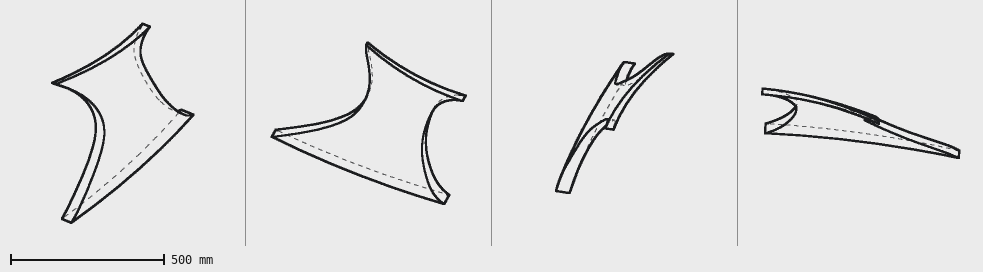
import cadquery as cq

HEIGHT = 320.0
LENGTH = 639.5
TOP_FRONT_Y = 250.0

OVERRUN = 6.5
LOFT_START = -OVERRUN
LOFT_END = LENGTH + OVERRUN
TRIM_START_X = -639.5
TRIM_WIDTH = 1279.0

LEVELS = [
    (0.0, 0.0, LENGTH, (184.0, 262.0), (220.0, 308.0), 18.0),
    (64.0, 128.0, 571.0, (179.0, 243.0), (214.0, 285.0), 9.0),
    (128.0, 231.5, 542.5, (166.0, 217.5), (199.5, 254.5), 5.0),
    (192.0, 291.5, 531.5, (137.5, 185.5), (169.0, 220.0), 4.0),
    (256.0, 299.0, 543.0, (83.0, 146.0), (107.0, 173.0), 6.5),
    (288.0, 281.5, 561.5, (51.0, 129.0), (72.0, 153.5), 10.0),
    (HEIGHT, TOP_FRONT_Y, LENGTH, (0.0, 115.0), (13.5, 143.0), 25.5),
]

FRONT_EDGE = [(0.0, 0.0), (128.0, 64.0), (231.5, 128.0), (291.5, 192.0), (303.0, 233.5), (287.0, 280.0),
              (TOP_FRONT_Y, HEIGHT)]
BACK_EDGE = [(LENGTH, 0.0), (597.5, 30.0), (558.5, 87.5), (537.0, 145.0), (531.5, 192.0), (537.0, 242.0),
             (554.5, 280.0), (576.0, 299.5), (LENGTH, HEIGHT)]


def bowed_edge(z, front_y, back_y, x_ends, bow):
    """Parabola through both x ends, extended over the whole loft length."""
    front_x, back_x = x_ends
    span = back_y - front_y

    def place(y):
        t = (y - front_y) / span
        return front_x + (back_x - front_x) * t + 4 * bow * t * (1 - t)

    start_x = place(LOFT_START)
    end_x = place(LOFT_END)
    middle_y = (LOFT_START + LOFT_END) / 2
    control_x = 2 * place(middle_y) - (start_x + end_x) / 2
    points = [(start_x, LOFT_START), (control_x, middle_y), (end_x, LOFT_END)]
    return cq.Edge.makeBezier([cq.Vector(x, y, z) for x, y in points])


def section(z, front_y, back_y, inner_x, outer_x, bow):
    """Closed horizontal outline of the web at height z."""
    inner = bowed_edge(z, front_y, back_y, inner_x, bow)
    outer = bowed_edge(z, front_y, back_y, outer_x, bow)
    front = cq.Edge.makeLine(inner.startPoint(), outer.startPoint())
    back = cq.Edge.makeLine(outer.endPoint(), inner.endPoint())
    return cq.Wire.assembleEdges([front, outer, back, inner])


def side_profile():
    """Prism along X whose two concave sides trim the web."""
    return (
        cq.Workplane("YZ", origin=(TRIM_START_X, 0, 0))
        .moveTo(*FRONT_EDGE[0])
        .spline(FRONT_EDGE[1:], includeCurrent=True)
        .lineTo(*BACK_EDGE[-1])
        .spline(BACK_EDGE[-2::-1], includeCurrent=True)
        .close()
        .extrude(TRIM_WIDTH)
    )


web = cq.Solid.makeLoft([section(*level) for level in LEVELS])
result = cq.Workplane(web).intersect(side_profile())